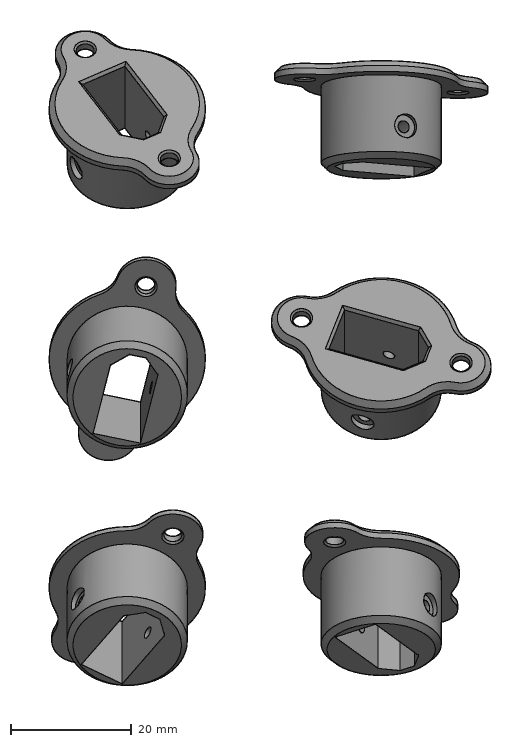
import cadquery as cq
import math

OVERALL_LENGTH = 37.95
DISC_DIAMETER = 26.0
DISC_RADIUS = DISC_DIAMETER / 2
EAR_DIAMETER = 10.0
EAR_RADIUS = EAR_DIAMETER / 2
EAR_OFFSET = OVERALL_LENGTH / 2 - EAR_RADIUS
BLEND_RADIUS = EAR_RADIUS
FLANGE_THICKNESS = 2.0
EDGE_CHAMFER = 1.0
FLARE_ANGLE = 45

SCREW_DIAMETER = 3.0
SCREW_CHAMFER = 0.35

OVERALL_HEIGHT = 16.0
BARREL_DIAMETER = 20.0
FLANGE_BOTTOM = OVERALL_HEIGHT - FLANGE_THICKNESS

OPENING_LENGTH = 15.6
OPENING_WIDTH = 8.1
OPENING_CLIP = 2.62
OPENING_CHAMFER = 0.5

CROSS_HEIGHT = 5.5
CROSS_DIAMETER = 2.0
CROSS_BORE_DIAMETER = 4.0
CROSS_BORE_DEPTH = 1.0


def flange_outline():
    """Closed wire of the disc and ears, every arc tangent to the next."""
    disc_reach = DISC_RADIUS + BLEND_RADIUS
    ear_reach = EAR_RADIUS + BLEND_RADIUS
    blend_x = (disc_reach**2 - ear_reach**2 + EAR_OFFSET**2) / (2 * EAR_OFFSET)
    blend_y = math.sqrt(disc_reach**2 - blend_x**2)

    disc_x = blend_x * DISC_RADIUS / disc_reach
    disc_y = blend_y * DISC_RADIUS / disc_reach
    ear_x = EAR_OFFSET + (blend_x - EAR_OFFSET) * EAR_RADIUS / ear_reach
    ear_y = blend_y * EAR_RADIUS / ear_reach

    chord_x = (disc_x + ear_x) / 2 - blend_x
    chord_y = (disc_y + ear_y) / 2 - blend_y
    chord_distance = math.hypot(chord_x, chord_y)
    mid_x = blend_x + chord_x * BLEND_RADIUS / chord_distance
    mid_y = blend_y + chord_y * BLEND_RADIUS / chord_distance

    return (
        cq.Workplane("XY")
        .workplane(offset=FLANGE_BOTTOM)
        .moveTo(-disc_x, disc_y)
        .threePointArc((0, DISC_RADIUS), (disc_x, disc_y))
        .threePointArc((mid_x, mid_y), (ear_x, ear_y))
        .threePointArc((OVERALL_LENGTH / 2, 0), (ear_x, -ear_y))
        .threePointArc((mid_x, -mid_y), (disc_x, -disc_y))
        .threePointArc((0, -DISC_RADIUS), (-disc_x, -disc_y))
        .threePointArc((-mid_x, -mid_y), (-ear_x, -ear_y))
        .threePointArc((-OVERALL_LENGTH / 2, 0), (-ear_x, ear_y))
        .threePointArc((-mid_x, mid_y), (-disc_x, disc_y))
        .close()
    )


def make_flange():
    """Flange plate with a chamfered top rim and screw holes chamfered at both ends."""
    plate = flange_outline().extrude(FLANGE_THICKNESS).faces(">Z").chamfer(EDGE_CHAMFER)
    screw_shape = (
        cq.Workplane("XY")
        .workplane(offset=FLANGE_BOTTOM)
        .circle(SCREW_DIAMETER / 2)
        .extrude(FLANGE_THICKNESS)
    )
    for height, direction in ((FLANGE_BOTTOM, 1), (OVERALL_HEIGHT, -1)):
        flare = (
            cq.Workplane("XY")
            .workplane(offset=height)
            .circle(SCREW_DIAMETER / 2 + SCREW_CHAMFER)
            .extrude(direction * SCREW_CHAMFER, taper=FLARE_ANGLE)
        )
        screw_shape = screw_shape.union(flare)
    for ear_x in (-EAR_OFFSET, EAR_OFFSET):
        plate = plate.cut(screw_shape.translate((ear_x, 0, 0)))
    return plate


def make_barrel():
    """Round barrel with a chamfered lower end."""
    barrel = cq.Workplane("XY").circle(BARREL_DIAMETER / 2).extrude(FLANGE_BOTTOM)
    return barrel.faces("<Z").chamfer(EDGE_CHAMFER)


def cut_opening(body):
    """Cut the keyed opening through the full height and chamfer its mouth."""
    half_length = OPENING_LENGTH / 2
    half_width = OPENING_WIDTH / 2
    outline = [
        (-half_length, -half_width),
        (half_length - OPENING_CLIP, -half_width),
        (half_length, -half_width + OPENING_CLIP),
        (half_length, half_width - OPENING_CLIP),
        (half_length - OPENING_CLIP, half_width),
        (-half_length, half_width),
    ]
    cutter = cq.Workplane("XY").polyline(outline).close().extrude(OVERALL_HEIGHT)
    mouth = (
        cq.Workplane("XY")
        .workplane(offset=OVERALL_HEIGHT)
        .polyline(outline)
        .close()
        .offset2D(OPENING_CHAMFER, "intersection")
        .extrude(-OPENING_CHAMFER, taper=FLARE_ANGLE)
    )
    return body.cut(cutter).cut(mouth)


def cut_cross_holes(body):
    """Drill across the barrel along Y and counterbore both ends."""
    barrel_radius = BARREL_DIAMETER / 2
    bore_floor = barrel_radius - CROSS_BORE_DEPTH
    axis = cq.Workplane("XZ").center(0, CROSS_HEIGHT)
    body = body.cut(axis.circle(CROSS_DIAMETER / 2).extrude(barrel_radius, both=True))
    for side in (-1, 1):
        bore = (
            axis.workplane(offset=side * bore_floor)
            .circle(CROSS_BORE_DIAMETER / 2)
            .extrude(side * CROSS_BORE_DEPTH)
        )
        body = body.cut(bore)
    return body


result = cut_cross_holes(cut_opening(make_flange().union(make_barrel())))